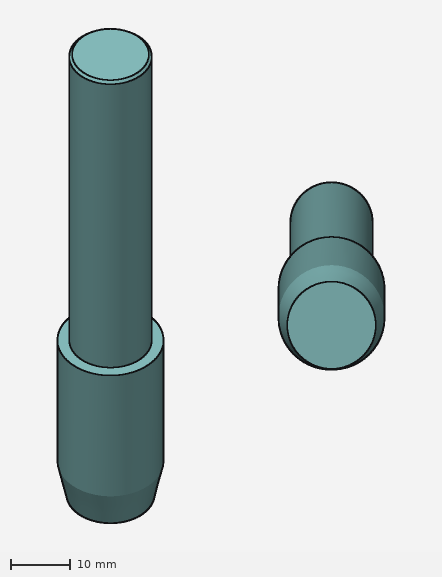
import cadquery as cq

total_length = 100.0
pin_diameter = 14.0
pin_chamfer = 0.5
base_diameter = 18.0
base_length = 35.0

taper_length = 7.5
tip_diameter = 15.0

pin_radius = pin_diameter / 2
base_radius = base_diameter / 2
tip_radius = tip_diameter / 2
pin_length = total_length - base_length


def make_pin():
    """Round pin standing on the base, chamfered at its upper end."""
    return (
        cq.Workplane("XY", origin=(0, 0, base_length))
        .circle(pin_radius)
        .extrude(pin_length)
        .faces(">Z")
        .chamfer(pin_chamfer)
    )


def make_base():
    """Solid round base with a tapered lower end, revolved about the Z axis."""
    return (
        cq.Workplane("XZ")
        .moveTo(0, 0)
        .lineTo(tip_radius, 0)
        .lineTo(base_radius, taper_length)
        .lineTo(base_radius, base_length)
        .lineTo(0, base_length)
        .close()
        .revolve(360, (0, 0, 0), (0, 1, 0))
    )


pin = make_pin()
base = make_base()

result = cq.Compound.makeCompound([pin.val(), base.val()])